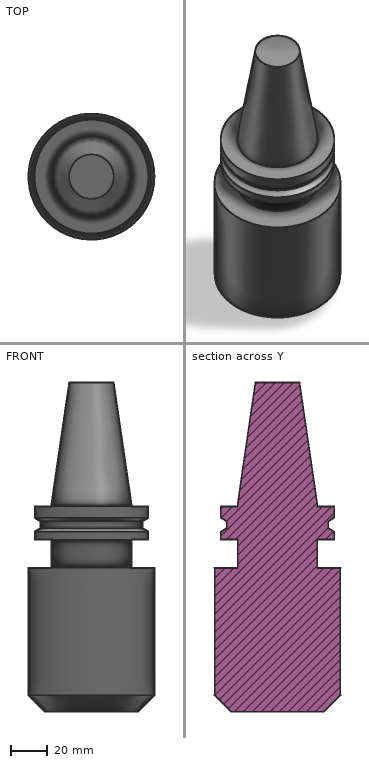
import cadquery as cq

total_height = 182.5
nose_chamfer_height = 9.3
body_top = 79.8
flange_bottom = 95.5
flange_top = 114.0
collar_height = 0.7

body_diameter = 70.0
nose_diameter = 51.3
neck_diameter = 44.5
flange_diameter = 63.0
groove_diameter = 56.5
taper_large_diameter = 44.5
taper_small_diameter = 24.6

groove_bottom = 99.9
groove_top = 107.5
groove_flank_height = 2.0

groove_floor_bottom = groove_bottom + groove_flank_height
groove_floor_top = groove_top - groove_flank_height
taper_bottom = flange_top + collar_height

profile = [
    (nose_diameter, 0),
    (body_diameter, nose_chamfer_height),
    (body_diameter, body_top),
    (neck_diameter, body_top),
    (neck_diameter, flange_bottom),
    (flange_diameter, flange_bottom),
    (flange_diameter, groove_bottom),
    (groove_diameter, groove_floor_bottom),
    (groove_diameter, groove_floor_top),
    (flange_diameter, groove_top),
    (flange_diameter, flange_top),
    (taper_large_diameter, flange_top),
    (taper_large_diameter, taper_bottom),
    (taper_small_diameter, total_height),
]

half_section = cq.Workplane("XZ").moveTo(0, 0)
for diameter, height in profile:
    half_section = half_section.lineTo(diameter / 2, height)
half_section = half_section.lineTo(0, total_height).close()

result = half_section.revolve(360, (0, 0, 0), (0, 1, 0))